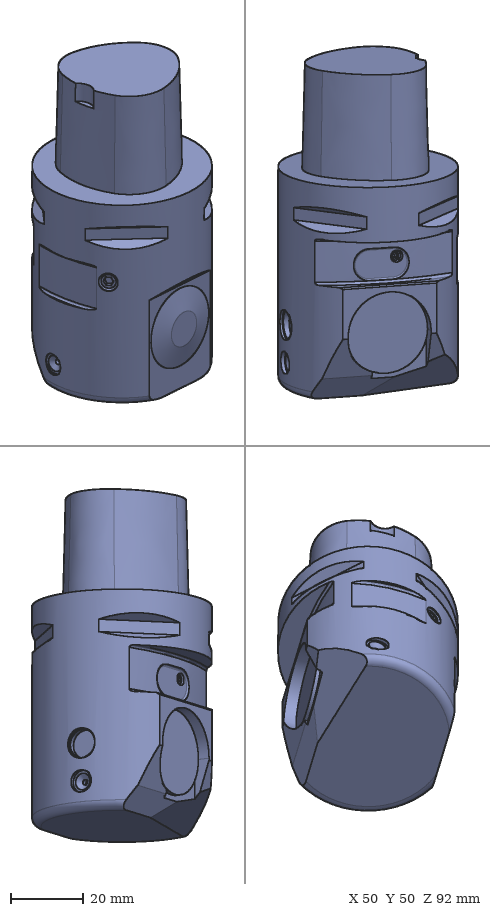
import cadquery as cq
import math

TOTAL_HEIGHT = 92.0
BODY_DIAMETER = 50.0
BODY_RADIUS = BODY_DIAMETER / 2
BODY_HEIGHT = 62.0
BOTTOM_FILLET = 2.5
OVERSIZE = 73.6

LOBE_COUNT = 3
FIRST_LOBE_ANGLE = 90
LOBE_REACH = 18.6
FLANK_REACH = 16.5
LOBE_RADIUS = 12.2
SHANK_TAPER = 1 / 40
SHANK_HEIGHT = TOTAL_HEIGHT - BODY_HEIGHT
KEY_RADIUS = 4.5
KEY_DEPTH = 5.5
KEY_INNER_Y = -14.0

GROOVE_COUNT = 4
FIRST_GROOVE_ANGLE = 45
GROOVE_Z = 51.9
GROOVE_FLOOR_DISTANCE = 22.2
GROOVE_FLOOR_HEIGHT = 3.5
GROOVE_FLANK_ANGLE = 32.0

RELIEF_FILLET = 0.7
SLOT_HEADING = 180
SLOT_REACH = 18.2
SLOT_FLOOR_RADIUS = 65.0
SLOT_BOTTOM = 33.1
SLOT_TOP = 46.3
SEAT_HEADING = 270
SEAT_REACH = 23.7
SEAT_FLOOR_RADIUS = 50.6
SEAT_BOTTOM = 28.8
SEAT_TOP = 43.0

OBLONG_LENGTH = 16.0
OBLONG_HEIGHT = 9.0
OBLONG_Y = 1.5
OBLONG_Z = 38.5
OBLONG_FLOOR_X = -17.3
OBLONG_FILLET = 0.5

FACE_REACH = 21.0
FACE_CHAMFER = 0.5
UPPER_SLOPE_Z = 18.4
LOWER_SLOPE_REACH = 16.9
LOWER_SLOPE_Z = 6.6
FOOT_REACH = 13.0

FACET_DIRECTION = 193.7
FACET_FOOT = 11.2
FACET_SLOPE = 0.94

BACK_REACH = 21.5
BACK_TOP = 32.0
BACK_RAMP_TOP = 35.2

INSERT_DIAMETER = 24.0
INSERT_Z = 19.0
POCKET_FLOOR_X = -16.3
POCKET_NOTCH_Y = 3.9
INSERT_FACE_X = -17.5
INSERT_TIP_REACH = 23.0
INSERT_TIP_DIAMETER = 10.5

FRONT_NOZZLE_X = -3.7
REAR_NOZZLE_X = -2.3
NOZZLE_Z = 8.3
NOZZLE_RIM_DIAMETER = 6.3
NOZZLE_RIM_REACH = 23.8
NOZZLE_CUP_DIAMETER = 4.7
NOZZLE_CUP_DEPTH = 1.2
NOZZLE_BORE_DIAMETER = 1.5
NOZZLE_BORE_DEPTH = 2.8

CLAMP_HOLE_X = -2.3
CLAMP_HOLE_DIAMETER = 8.0
CLAMP_RIM_DIAMETER = 8.5
CLAMP_RIM_REACH = 24.2
CLAMP_HOLE_DEPTH = 1.8

SCREW_ANGLE = -57.0
SCREW_Z = 38.0
SCREW_SURFACE_REACH = 24.75
SCREW_DIAMETERS = (5.4, 4.2, 2.85)
SMALL_SCREW_Y = -3.1
SMALL_SCREW_Z = 40.2
SMALL_SCREW_DIAMETERS = (3.4, 2.5, 1.5)
SCREW_RECESS = 0.5
SOCKET_DEPTH = 1.4


def polar(radius, angle):
    """Point at a radius and an angle in degrees around the axis."""
    return (radius * math.cos(math.radians(angle)), radius * math.sin(math.radians(angle)))


def shank_section(z, inset):
    """Closed outline of three lobes joined by tangent flank arcs, shrunk by an inset."""
    lobe_offset = LOBE_REACH - LOBE_RADIUS
    flank_gap = FLANK_REACH - LOBE_RADIUS
    flank_offset = (lobe_offset**2 - flank_gap**2) / (2 * flank_gap - lobe_offset)
    spacing = 360 / LOBE_COUNT
    lobe_x, lobe_y = polar(lobe_offset, 0)
    flank_x, flank_y = polar(flank_offset, spacing / 2 - 180)
    normal = math.degrees(math.atan2(lobe_y - flank_y, lobe_x - flank_x))
    joint_x, joint_y = polar(LOBE_RADIUS - inset, normal)
    joint_x += lobe_x
    joint_y += lobe_y
    joint_radius = math.hypot(joint_x, joint_y)
    joint_angle = math.degrees(math.atan2(joint_y, joint_x))

    start = polar(joint_radius, FIRST_LOBE_ANGLE - joint_angle)
    outline = cq.Workplane("XY", origin=(0, 0, z)).moveTo(*start)
    for index in range(LOBE_COUNT):
        lobe = FIRST_LOBE_ANGLE + index * spacing
        next_lobe = lobe + spacing
        outline = outline.threePointArc(
            polar(LOBE_REACH - inset, lobe), polar(joint_radius, lobe + joint_angle)
        )
        outline = outline.threePointArc(
            polar(FLANK_REACH - inset, lobe + spacing / 2), polar(joint_radius, next_lobe - joint_angle)
        )
    return outline.close().val()


def make_shank():
    """Tapered three-lobed shank with a rounded key notch at its top."""
    base = shank_section(BODY_HEIGHT, 0)
    top = shank_section(TOTAL_HEIGHT, SHANK_HEIGHT * SHANK_TAPER)
    shank = cq.Workplane(cq.Solid.makeLoft([base, top], True))
    key = (
        cq.Workplane("XY")
        .workplane(offset=TOTAL_HEIGHT - KEY_DEPTH)
        .center(0, KEY_INNER_Y - KEY_RADIUS)
        .circle(KEY_RADIUS)
        .extrude(KEY_DEPTH)
    )
    return shank.cut(key)


def make_body_blank():
    """Round body with a rounded lower rim."""
    cylinder = cq.Workplane("XY").circle(BODY_RADIUS).extrude(BODY_HEIGHT)
    return cylinder.faces("<Z").edges().fillet(BOTTOM_FILLET)


def xz_prism(points):
    """Prism along Y, through the whole body, whose cross-section is given as (x, z) points."""
    return cq.Workplane("XZ").polyline(points).close().extrude(OVERSIZE, both=True)


def gripper_groove(angle):
    """Straight groove with sloping flanks, cut across the body side at an angle."""
    depth = OVERSIZE - GROOVE_FLOOR_DISTANCE
    floor_half = GROOVE_FLOOR_HEIGHT / 2
    mouth_half = floor_half + depth * math.tan(math.radians(GROOVE_FLANK_ANGLE))
    profile = [
        (GROOVE_FLOOR_DISTANCE, GROOVE_Z - floor_half),
        (OVERSIZE, GROOVE_Z - mouth_half),
        (OVERSIZE, GROOVE_Z + mouth_half),
        (GROOVE_FLOOR_DISTANCE, GROOVE_Z + floor_half),
    ]
    return xz_prism(profile).rotate((0, 0, 0), (0, 0, 1), angle)


def curved_relief(reach, floor_radius, bottom, top, angle):
    """Side relief with a gently convex floor and filleted floor edges."""
    height = top - bottom
    block = cq.Workplane("XY").box(OVERSIZE, OVERSIZE, height, centered=(False, True, False))
    core = cq.Workplane("XY").center(reach - floor_radius, 0).circle(floor_radius).extrude(height)
    tool = block.cut(core).edges("%CIRCLE").fillet(RELIEF_FILLET)
    return tool.translate((0, 0, bottom)).rotate((0, 0, 0), (0, 0, 1), angle)


def oblong_recess():
    """Flat-bottomed oblong recess in the slot floor."""
    return (
        cq.Workplane("YZ", origin=(OBLONG_FLOOR_X, OBLONG_Y, OBLONG_Z))
        .slot2D(OBLONG_LENGTH, OBLONG_HEIGHT)
        .extrude(-(SLOT_REACH + OBLONG_FLOOR_X) * 2)
        .faces(">X")
        .edges()
        .fillet(OBLONG_FILLET)
    )


def working_face():
    """Material removed outside the -X face, its upper chamfer and its two slopes."""
    return xz_prism(
        [
            (-OVERSIZE, SLOT_BOTTOM),
            (FACE_CHAMFER - FACE_REACH, SLOT_BOTTOM),
            (-FACE_REACH, SLOT_BOTTOM - FACE_CHAMFER),
            (-FACE_REACH, UPPER_SLOPE_Z),
            (-LOWER_SLOPE_REACH, LOWER_SLOPE_Z),
            (-FOOT_REACH, 0),
            (-OVERSIZE, 0),
        ]
    )


def corner_facet():
    """Material removed outside the oblique facet at the lower corner."""
    facet_top = (OVERSIZE - FACET_FOOT) / FACET_SLOPE
    wedge = xz_prism([(FACET_FOOT, 0), (OVERSIZE, 0), (OVERSIZE, facet_top)])
    return wedge.rotate((0, 0, 0), (0, 0, 1), FACET_DIRECTION)


def back_flat():
    """Material removed outside the +X flat and the ramp above it."""
    return xz_prism(
        [
            (BACK_REACH, 0),
            (BACK_REACH, BACK_TOP),
            (BODY_RADIUS, BACK_RAMP_TOP),
            (OVERSIZE, BACK_RAMP_TOP),
            (OVERSIZE, 0),
        ]
    )


def insert_pocket():
    """Round bore through the body along X, with a square clearance in front of the insert."""
    insert_radius = INSERT_DIAMETER / 2
    bore = cq.Workplane("YZ", origin=(-OVERSIZE, 0, INSERT_Z)).circle(insert_radius).extrude(2 * OVERSIZE)
    clearance = cq.Workplane("XY").box(
        OVERSIZE, insert_radius + POCKET_NOTCH_Y, INSERT_Z, centered=False
    )
    return bore.union(clearance.translate((POCKET_FLOOR_X - OVERSIZE, -insert_radius, 0)))


def turned_tool(profile, origin, direction):
    """Solid turned from (radius, depth) points, with depth running inward along a direction."""
    half = cq.Workplane("XZ").polyline(profile).close().revolve(360, (0, 0, 0), (0, 1, 0))
    return cq.Workplane(half.val().moved(cq.Plane(origin, normal=direction).location))


def nozzle(x, side):
    """Rimmed conical cup with a small bore, on the -Y (side -1) or +Y (side 1) face."""
    rim_radius = NOZZLE_RIM_DIAMETER / 2
    cup_radius = NOZZLE_CUP_DIAMETER / 2
    bore_radius = NOZZLE_BORE_DIAMETER / 2
    profile = [
        (0, -rim_radius),
        (rim_radius, -rim_radius),
        (rim_radius, 0),
        (cup_radius, 0),
        (bore_radius, NOZZLE_CUP_DEPTH),
        (bore_radius, NOZZLE_BORE_DEPTH),
        (0, NOZZLE_BORE_DEPTH),
    ]
    return turned_tool(profile, (x, side * NOZZLE_RIM_REACH, NOZZLE_Z), (0, -side, 0))


def clamp_hole():
    """Shallow chamfered screw hole on the +Y side, level with the insert."""
    hole_radius = CLAMP_HOLE_DIAMETER / 2
    rim_radius = CLAMP_RIM_DIAMETER / 2
    profile = [
        (0, -rim_radius),
        (rim_radius, -rim_radius),
        (rim_radius, 0),
        (hole_radius, rim_radius - hole_radius),
        (hole_radius, CLAMP_HOLE_DEPTH),
        (0, CLAMP_HOLE_DEPTH),
    ]
    return turned_tool(profile, (CLAMP_HOLE_X, CLAMP_RIM_REACH, INSERT_Z), (0, -1, 0))


def socket_screw(origin, direction, diameters):
    """Countersunk rim, flat screw face and hexagonal socket."""
    rim, face, socket = diameters
    profile = [
        (0, -rim),
        (rim / 2, -rim),
        (rim / 2, 0),
        (face / 2, SCREW_RECESS),
        (0, SCREW_RECESS),
    ]
    plane = cq.Plane(origin, normal=direction)
    hexagon = cq.Workplane(plane).polygon(6, socket).extrude(SCREW_RECESS + SOCKET_DEPTH)
    return turned_tool(profile, origin, direction).union(hexagon)


def make_housing():
    """Tool holder: shank and body with all side features cut in."""
    housing = make_body_blank().union(make_shank())
    for index in range(GROOVE_COUNT):
        housing = housing.cut(gripper_groove(FIRST_GROOVE_ANGLE + index * 360 / GROOVE_COUNT))
    housing = housing.cut(curved_relief(SLOT_REACH, SLOT_FLOOR_RADIUS, SLOT_BOTTOM, SLOT_TOP, SLOT_HEADING))
    housing = housing.cut(curved_relief(SEAT_REACH, SEAT_FLOOR_RADIUS, SEAT_BOTTOM, SEAT_TOP, SEAT_HEADING))
    housing = housing.cut(oblong_recess())
    housing = housing.cut(working_face())
    housing = housing.cut(corner_facet())
    housing = housing.cut(back_flat())
    housing = housing.cut(insert_pocket())
    for x, side in ((FRONT_NOZZLE_X, -1), (REAR_NOZZLE_X, 1)):
        housing = housing.cut(nozzle(x, side))
    housing = housing.cut(clamp_hole())

    screw_x, screw_y = polar(1, SCREW_ANGLE)
    screw_place = (screw_x * SCREW_SURFACE_REACH, screw_y * SCREW_SURFACE_REACH, SCREW_Z)
    housing = housing.cut(socket_screw(screw_place, (-screw_x, -screw_y, 0), SCREW_DIAMETERS))
    small_place = (OBLONG_FLOOR_X, SMALL_SCREW_Y, SMALL_SCREW_Z)
    return housing.cut(socket_screw(small_place, (1, 0, 0), SMALL_SCREW_DIAMETERS))


def make_insert():
    """Round insert that fills the bore and ends in a flat-topped cone beyond the +X flat."""
    profile = [
        (0, 0),
        (INSERT_DIAMETER / 2, 0),
        (INSERT_DIAMETER / 2, BACK_REACH - INSERT_FACE_X),
        (INSERT_TIP_DIAMETER / 2, INSERT_TIP_REACH - INSERT_FACE_X),
        (0, INSERT_TIP_REACH - INSERT_FACE_X),
    ]
    return turned_tool(profile, (INSERT_FACE_X, 0, INSERT_Z), (1, 0, 0))


housing = make_housing()
insert = make_insert()
result = cq.Compound.makeCompound([housing.solids().val(), insert.val()])